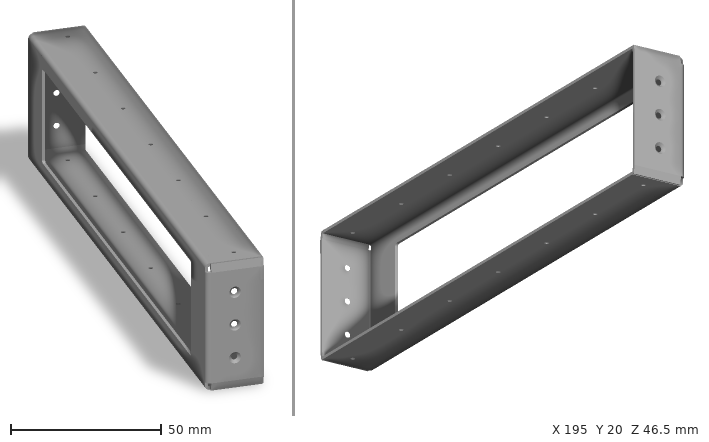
import cadquery as cq

overall_length = 195.0
depth = 20.0
height = 46.5
sheet = 1.07
bend_radius = 1.6

tab_projection = 0.1
tab_depth = 1.2
tab_height = 4.9
length = overall_length - tab_projection

corner_inset = 0.65
corner_height = 3.0

notch_width = 1.46
notch_depth = 1.8

window_length = 161.8
window_height = 34.7
window_corner_radius = 1.0

wall_hole_diameter = 1.5
wall_hole_pitch = 30.0
wall_hole_count = 7
wall_hole_y = 1.9

end_hole_diameter = 2.1
countersink_diameter = 4.0
countersink_angle = 90
end_hole_span = 24.0
end_hole_count = 3
end_hole_pitch = end_hole_span / (end_hole_count - 1)

front = -depth / 2
back = depth / 2


def corner_profile():
    """XZ outline of the frame with its four steep corner strips."""
    x = length / 2
    z = height / 2
    points = []
    for side_x, side_z in ((1, 1), (-1, 1), (-1, -1), (1, -1)):
        end_point = (side_x * x, side_z * (z - corner_height))
        long_point = (side_x * (x - corner_inset), side_z * z)
        pair = [end_point, long_point]
        points += pair if side_x == side_z else pair[::-1]
    return cq.Workplane("XZ", origin=(0, back, 0)).polyline(points).close()


def rounded_block(inset):
    """Block inset from the outer skin, with its front edges rounded by the bends."""
    block = (
        cq.Workplane("XY")
        .box(length - 2 * inset, depth - inset, height - 2 * inset)
        .translate((0, inset / 2, 0))
        .faces("<Y")
        .edges()
        .fillet(bend_radius - inset)
    )
    profile = corner_profile()
    if inset:
        profile = profile.offset2D(-inset, "intersection")
    return block.intersect(profile.extrude(depth))


def shell():
    """Sheet of even thickness, open at the back."""
    return rounded_block(0).cut(rounded_block(sheet))


def seam_grooves():
    """Shallow wedges that bevel the strips' edges to just below the long walls' outer faces."""
    x = length / 2
    z = height / 2
    groove_width = notch_width - corner_inset
    groove_drop = groove_width * corner_inset / corner_height
    inner_x = x - notch_width
    points = [(x - corner_inset, z), (inner_x, z), (inner_x, z - groove_drop)]
    wedge = cq.Workplane("XZ", origin=(0, back, 0)).polyline(points).close().extrude(depth)
    upper = wedge.union(wedge.mirror("YZ"))
    return upper.union(upper.mirror("XY"))


def notches():
    spacing_x = length - notch_width
    spacing_z = height - corner_height
    return (
        cq.Workplane("XZ", origin=(0, front, 0))
        .rect(spacing_x, spacing_z, forConstruction=True)
        .vertices()
        .rect(notch_width, corner_height)
        .extrude(-notch_depth)
    )


def window():
    return (
        cq.Workplane("XZ", origin=(0, front, 0))
        .rect(window_length, window_height)
        .extrude(-2 * sheet)
        .edges("|Y")
        .fillet(window_corner_radius)
    )


def wall_holes():
    return (
        cq.Workplane("XY", origin=(0, wall_hole_y, -height / 2))
        .rarray(wall_hole_pitch, 2, wall_hole_count, 1)
        .circle(wall_hole_diameter / 2)
        .extrude(height)
    )


def drill_end_holes(body):
    for end in ("<X", ">X"):
        body = (
            body.faces(end)
            .workplane(origin=(0, 0, 0))
            .rarray(2, end_hole_pitch, 1, end_hole_count)
            .cskHole(end_hole_diameter, countersink_diameter, countersink_angle, 2 * sheet)
        )
    return body


def tab():
    z_top = height / 2 - corner_height
    lower_corner = (length / 2 - sheet, back - tab_depth, z_top - tab_height)
    return (
        cq.Workplane("XY")
        .box(sheet + tab_projection, tab_depth, tab_height, centered=False)
        .translate(lower_corner)
    )


frame = shell().cut(seam_grooves()).cut(notches()).cut(window()).cut(wall_holes())
result = drill_end_holes(frame).union(tab()).translate((-tab_projection / 2, 0, 0)).solids()